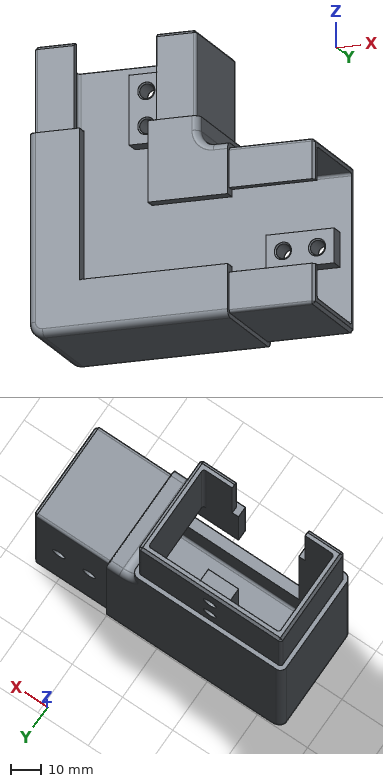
import cadquery as cq


TUBE_WIDTH = 60.0
TUBE_DEPTH = 40.0
ELBOW_LENGTH = 70.0
EDGE_RADIUS = 2.5
CORNER_RADIUS = 5.0

SLEEVE_LENGTH = 100.0
SLEEVE_INSET = 1.6
SLEEVE_WALL = 2.4
SLEEVE_EDGE_RADIUS = 1.0
SLEEVE_END_CHAMFER = 1.0
CAVITY_EDGE_RADIUS = 1.0
CAVITY_INSET = SLEEVE_INSET + SLEEVE_WALL
CAVITY_OVERRUN = 5.0

ARM_CENTER = TUBE_WIDTH / 2
ELBOW_SLOT_WIDTH = 24.0
SLEEVE_SLOT_WIDTH = 29.0

PAD_LENGTH = 24.0
PAD_WIDTH = 12.0
PAD_HEIGHT = 5.6
PAD_CENTER = 84.0
HOLE_PITCH = 12.0
HOLE_DIAMETER = 5.0
HOLE_MOUTH_CHAMFER = 0.5


def l_shape(inset, end, depth):
    """L-shaped bar, centred on Y = 0, lying inset inside the tube outline."""
    far = TUBE_WIDTH - inset
    outline = [(inset, inset), (end, inset), (end, far), (far, far), (far, end), (inset, end)]
    return cq.Workplane("XZ").polyline(outline).close().extrude(depth / 2, both=True)


def on_both_arms(arm_feature):
    """Join a feature of the +Z arm with its mirror image on the +X arm."""
    mirrored = arm_feature.rotate((0, 0, 0), (1, 0, 1), 180).mirror("XZ")
    return arm_feature.union(mirrored)


def outer_elbow():
    elbow = l_shape(0, ELBOW_LENGTH, TUBE_DEPTH)
    outer_corner = (0, 0, 0)
    inner_corner = (TUBE_WIDTH, 0, TUBE_WIDTH)
    for corner in (outer_corner, inner_corner):
        elbow = elbow.edges("|Y").edges(cq.NearestToPointSelector(corner)).fillet(CORNER_RADIUS)
    return elbow.faces("<Y or >Y").edges("not(>X or >Z)").fillet(EDGE_RADIUS)


def inner_sleeve():
    sleeve = l_shape(SLEEVE_INSET, SLEEVE_LENGTH, TUBE_DEPTH - 2 * SLEEVE_INSET)
    sleeve = sleeve.faces("<Y or >Y").edges("not(>X or >Z)").fillet(SLEEVE_EDGE_RADIUS)
    return sleeve.faces(">X or >Z").edges().chamfer(SLEEVE_END_CHAMFER)


def cavity():
    core = l_shape(CAVITY_INSET, SLEEVE_LENGTH + CAVITY_OVERRUN, TUBE_DEPTH - 2 * CAVITY_INSET)
    return core.faces("<Y or >Y").edges().fillet(CAVITY_EDGE_RADIUS)


def arm_slot(width, start, end):
    """Cutter through the -Y wall of the +Z arm."""
    return cq.Workplane("XY").box(
        width, TUBE_DEPTH / 2, end - start, centered=(True, False, False)
    ).translate((ARM_CENTER, -TUBE_DEPTH / 2, start))


def slots():
    start_of_elbow_slot = ARM_CENTER - ELBOW_SLOT_WIDTH / 2
    elbow_slot = arm_slot(ELBOW_SLOT_WIDTH, start_of_elbow_slot, ELBOW_LENGTH)
    sleeve_slot = arm_slot(SLEEVE_SLOT_WIDTH, ELBOW_LENGTH, SLEEVE_LENGTH)
    return on_both_arms(elbow_slot.union(sleeve_slot))


def pads():
    wall_face = TUBE_DEPTH / 2 - CAVITY_INSET
    embedded_depth = SLEEVE_WALL / 2
    pad = cq.Workplane("XY").box(
        PAD_WIDTH, PAD_HEIGHT + embedded_depth, PAD_LENGTH, centered=(True, False, True)
    ).translate((ARM_CENTER, wall_face - PAD_HEIGHT, PAD_CENTER))
    return on_both_arms(pad)


def screw_holes():
    """Round holes through pad and wall, with a chamfered mouth on the pad face."""
    pad_face = TUBE_DEPTH / 2 - CAVITY_INSET - PAD_HEIGHT
    mouth_radius = HOLE_DIAMETER / 2 + HOLE_MOUTH_CHAMFER
    profile = [
        (0, 0),
        (mouth_radius, 0),
        (HOLE_DIAMETER / 2, HOLE_MOUTH_CHAMFER),
        (HOLE_DIAMETER / 2, TUBE_DEPTH / 2),
        (0, TUBE_DEPTH / 2),
    ]
    hole = cq.Workplane("XY").polyline(profile).close().revolve(360, (0, 0), (0, 1))
    lower = hole.translate((ARM_CENTER, pad_face, PAD_CENTER - HOLE_PITCH / 2))
    upper = hole.translate((ARM_CENTER, pad_face, PAD_CENTER + HOLE_PITCH / 2))
    return on_both_arms(lower.union(upper))


body = outer_elbow().union(inner_sleeve())
body = body.cut(cavity()).cut(slots())
result = body.union(pads()).cut(screw_holes())